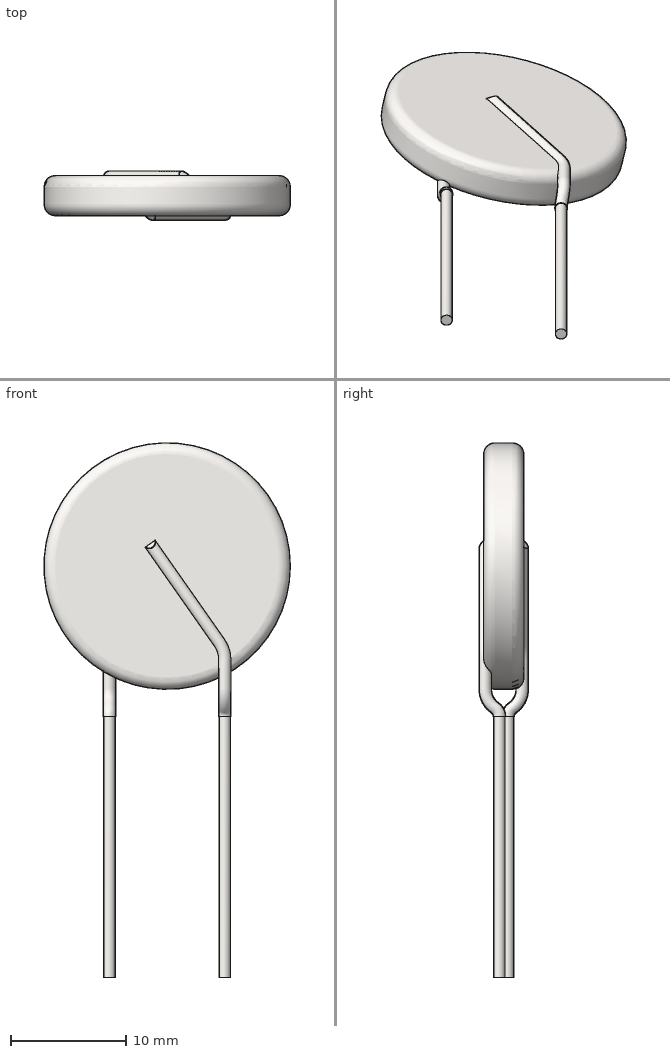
import cadquery as cq
import math

disc_diameter = 21.4
disc_thickness = 3.5
disc_fillet = 1.0

wire_diameter = 1.0
sleeve_diameter = 1.1
lead_pitch = 10.0
lead_length = 25.0

overall_depth = 4.3
tail_offset = 0.37
s_bend_angle = math.radians(55)
upper_bend_share = 0.68
riser_length = 2.6
slant_angle = math.radians(35)
slant_bend_radius = 2.5
slant_length = 10.5
tip_bevel_angle = math.radians(45)

disc_radius = disc_diameter / 2
disc_bottom = -disc_radius
riser_offset = (overall_depth - sleeve_diameter) / 2
lead_x = lead_pitch / 2

s_bend_step = riser_offset - tail_offset
s_bend_radii_sum = s_bend_step / (1 - math.cos(s_bend_angle))
upper_bend_radius = s_bend_radii_sum * upper_bend_share
lower_bend_radius = s_bend_radii_sum - upper_bend_radius
s_bend_bottom = disc_bottom - s_bend_radii_sum * math.sin(s_bend_angle)
tail_bottom = disc_bottom - lead_length


def lower_bend_point(angle):
    """Point on the lower S-bend arc, which leaves the vertical tail at angle 0."""
    y = -tail_offset - lower_bend_radius * (1 - math.cos(angle))
    z = s_bend_bottom + lower_bend_radius * math.sin(angle)
    return (lead_x, y, z)


def upper_bend_point(angle):
    """Point on the upper S-bend arc, which meets the vertical riser at angle 0."""
    y = -riser_offset + upper_bend_radius * (1 - math.cos(angle))
    z = disc_bottom - upper_bend_radius * math.sin(angle)
    return (lead_x, y, z)


def slant_bend_point(angle):
    """Point on the arc that leaves the riser at angle 0 and turns toward -X."""
    x = lead_x - slant_bend_radius * (1 - math.cos(angle))
    z = disc_bottom + riser_length + slant_bend_radius * math.sin(angle)
    return (x, -riser_offset, z)


slant_start = slant_bend_point(slant_angle)
slant_end = (
    slant_start[0] - slant_length * math.sin(slant_angle),
    slant_start[1],
    slant_start[2] + slant_length * math.cos(slant_angle),
)


def arc(point_at, start, end):
    """Arc edge through three points of a bend."""
    points = [cq.Vector(*point_at(a)) for a in (start, (start + end) / 2, end)]
    return cq.Edge.makeThreePointArc(*points)


def line(start, end):
    return cq.Edge.makeLine(cq.Vector(*start), cq.Vector(*end))


def sleeved_path():
    """Centre line from the bottom of the S-bend to the end of the slanted run."""
    return cq.Wire.assembleEdges([
        arc(lower_bend_point, 0, s_bend_angle),
        arc(upper_bend_point, s_bend_angle, 0),
        line(upper_bend_point(0), slant_bend_point(0)),
        arc(slant_bend_point, 0, slant_angle),
        line(slant_start, slant_end),
    ])


def tip_bevel_cutter():
    """Wedge that bevels the lead's end where it stands proud of the disc face."""
    height = sleeve_diameter
    setback = height / math.tan(tip_bevel_angle)
    end_at_face = (slant_end[0], -disc_thickness / 2, slant_end[2])
    across_the_lead = (math.cos(slant_angle), 0, math.sin(slant_angle))
    plane = cq.Plane(origin=end_at_face, xDir=(0, -1, 0), normal=across_the_lead)
    return (
        cq.Workplane(plane)
        .polyline([(0, 0), (height, 0), (height, setback)])
        .close()
        .extrude(sleeve_diameter, both=True)
    )


def rod_along_path(diameter):
    """Round rod swept along the sleeved part of the lead, with its end bevelled."""
    profile = cq.Workplane("XY", origin=lower_bend_point(0)).circle(diameter / 2)
    return profile.sweep(sleeved_path()).cut(tip_bevel_cutter())


def make_wire():
    tail = (
        cq.Workplane("XY", origin=(lead_x, -tail_offset, tail_bottom))
        .circle(wire_diameter / 2)
        .extrude(s_bend_bottom - tail_bottom)
    )
    return tail.union(rod_along_path(wire_diameter))


def make_disc(lead_envelopes):
    """Filleted disc with a groove in each face where a sleeved lead lies."""
    disc = (
        cq.Workplane("XZ", origin=(0, disc_thickness / 2, 0))
        .circle(disc_radius)
        .extrude(disc_thickness)
        .edges()
        .fillet(disc_fillet)
    )
    for envelope in lead_envelopes:
        disc = disc.cut(envelope)
    return disc


wires = []
sleeves = []
envelopes = []
for turn in (0, 180):
    wire = make_wire().rotate((0, 0, 0), (0, 0, 1), turn)
    envelope = rod_along_path(sleeve_diameter).rotate((0, 0, 0), (0, 0, 1), turn)
    wires.append(wire)
    envelopes.append(envelope)
    sleeves.append(envelope.cut(wire))

disc = make_disc(envelopes)

result = cq.Compound.makeCompound(
    [body.solids().val() for body in [disc] + wires + sleeves]
)